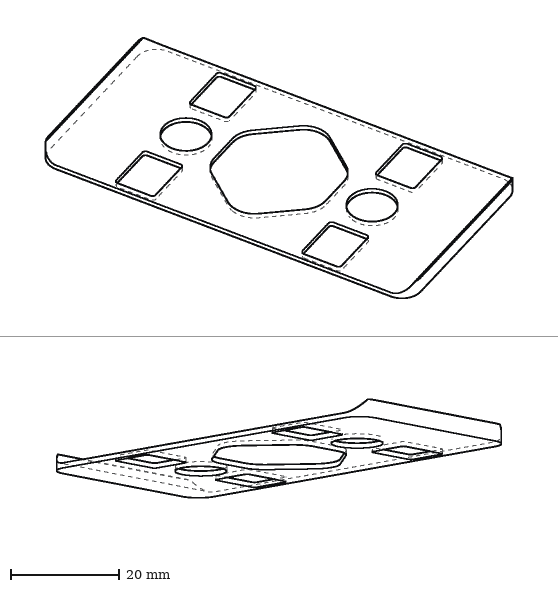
import cadquery as cq

length = 80.0
width = 40.0
height = 3.4
thickness = 1.0
corner_radius = 4.0

lip_radius = 4.0

side_offset = 20.0
round_hole_diameter = 9.5
window_length = 8.4
window_width = 10.6
window_offset = 13.3
window_corner_radius = 0.6

hexagon_half_length = 12.0
hexagon_tip = 15.5
hexagon_shoulder = 5.8
hexagon_corner_radius = 5.2


def make_body():
    """Rounded block hollowed above the plate, leaving a curved lip at each end."""
    block = (
        cq.Workplane("XY")
        .box(length, width, height, centered=(True, True, False))
        .edges("|Z")
        .fillet(corner_radius)
    )
    hollow_height = 2 * lip_radius
    hollow = (
        cq.Workplane("XY")
        .workplane(offset=thickness)
        .box(length, width, hollow_height, centered=(True, True, False))
        .faces("<Z")
        .edges("|Y")
        .fillet(lip_radius)
    )
    return block.cut(hollow)


def make_hexagon():
    """Tall hexagonal cutter with rounded corners."""
    corners = [
        (0, hexagon_tip),
        (hexagon_half_length, hexagon_shoulder),
        (hexagon_half_length, -hexagon_shoulder),
        (0, -hexagon_tip),
        (-hexagon_half_length, -hexagon_shoulder),
        (-hexagon_half_length, hexagon_shoulder),
    ]
    prism = cq.Workplane("XY").polyline(corners).close().extrude(height)
    return prism.edges("|Z").fillet(hexagon_corner_radius)


def make_round_holes():
    """Cutters for the round hole on each side of the hexagon."""
    centres = [(-side_offset, 0), (side_offset, 0)]
    return cq.Workplane("XY").pushPoints(centres).circle(round_hole_diameter / 2).extrude(height)


def make_windows():
    """Cutters for the four rectangular windows, above and below the round holes."""
    windows = (
        cq.Workplane("XY")
        .rect(2 * side_offset, 2 * window_offset, forConstruction=True)
        .vertices()
        .rect(window_length, window_width)
        .extrude(height)
    )
    return windows.edges("|Z").fillet(window_corner_radius)


result = make_body().cut(make_hexagon()).cut(make_round_holes()).cut(make_windows())